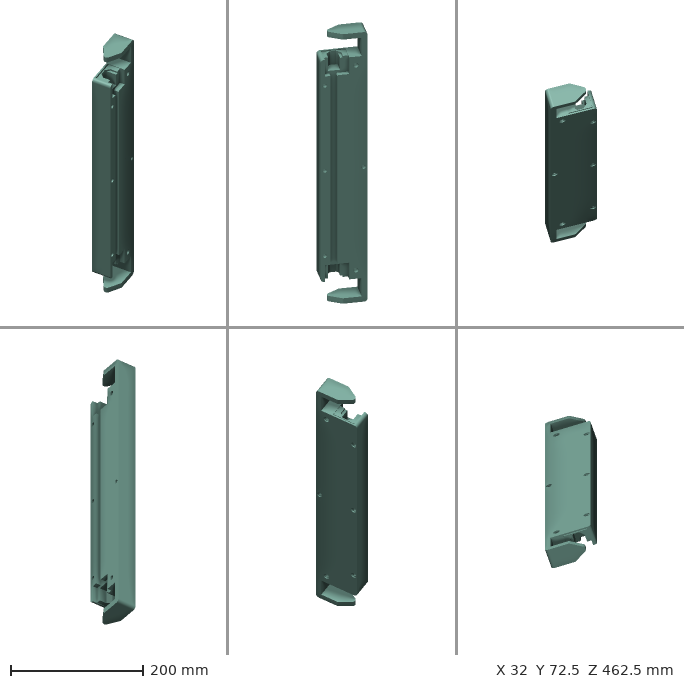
import cadquery as cq

width = 32.0
depth = 72.5
height = 462.5
left = -width / 2
right = width / 2
front = -depth / 2
back = depth / 2

block_height = 381.0
bar_thickness = 9.2
back_edge_radius = 5.5
front_edge_radius = 5.0

hook_thickness = 9.2
hook_shoulder = back - 38.5
hook_apex = back - 64.3
hook_shoulder_radius = 4.5
hook_tip_radius = 5.0

channel_left = -13.5
channel_front = -30.0
channel_back = 8.0

core_gap = 1.5
core_left = channel_left + core_gap
core_height = 379.0

lip_left = 8.0
lip_height = 323.5
lip_chamfer = 1.5
mouth_front = -21.3
mouth_back = -10.5

slot_left = -10.5
slot_front = -23.0
slot_back = -0.5
slot_chamfer = 6.5

insert_height = 333.0
rib_height = 373.5
rib_thickness = 4.0

head_depth = 2.0
edge_hole_diameter = 6.5
edge_head_diameter = 9.2
edge_hole_y = 30.0
edge_hole_z = 146.0
inner_hole_diameter = 8.0
inner_head_diameter = 9.5
inner_hole_y = 18.0
inner_hole_z = 175.5
edge_holes = [(edge_hole_y, 0)] + [(-edge_hole_y, z) for z in (-edge_hole_z, 0, edge_hole_z)]
inner_holes = [(inner_hole_y, z) for z in (-inner_hole_z, inner_hole_z)]


def block(x_range, y_range, tall):
    """Block between two X and two Y places, centred on Z = 0."""
    (x0, x1), (y0, y1) = x_range, y_range
    return cq.Workplane("XY").center((x0 + x1) / 2, (y0 + y1) / 2).box(x1 - x0, y1 - y0, tall)


def pins_along_x(places, diameter, length):
    """Cylinders running from the -X face inward at the given (y, z) places."""
    return cq.Workplane("YZ", origin=(left, 0, 0)).pushPoints(places).circle(diameter / 2).extrude(length)


def make_hook():
    """Pointed plate with its lower face on Z = 0."""
    outline = [(left, back), (right, back), (right, hook_shoulder), (0, hook_apex), (left, hook_shoulder)]
    hook = cq.Workplane("XY").polyline(outline).close().extrude(hook_thickness)
    hook = hook.edges("|Z and <Y").fillet(hook_tip_radius)
    margin = 4.5
    shoulders = cq.selectors.BoxSelector(
        (left - margin, hook_shoulder - margin, -margin),
        (right + margin, hook_shoulder + margin, hook_thickness + margin),
    )
    return hook.edges("|Z").edges(shoulders).fillet(hook_shoulder_radius)


def drill_edge_holes(body):
    return body.cut(pins_along_x(edge_holes, edge_hole_diameter, width))


def make_housing():
    body = block((left, right), (front, back), block_height)
    body = body.edges("|X and <Y").fillet(front_edge_radius)
    body = body.union(block((left, right), (back - bar_thickness, back), height))
    hook = make_hook()
    for z in (height / 2 - hook_thickness, -height / 2):
        body = body.union(hook.translate((0, 0, z)))
    body = body.edges("|X and >Y").fillet(back_edge_radius)
    body = body.cut(block((channel_left, right), (channel_front, channel_back), block_height))
    body = body.cut(pins_along_x(edge_holes, edge_head_diameter, head_depth))
    body = body.cut(pins_along_x(inner_holes, inner_head_diameter, head_depth))
    body = body.cut(pins_along_x(inner_holes, inner_hole_diameter, width))
    return drill_edge_holes(body)


def slot_fill(tall):
    """Shape of the slot between its inner wall and the lips."""
    fill = block((slot_left, lip_left), (slot_front, slot_back), tall)
    return fill.edges("|Z and <X").chamfer(slot_chamfer)


def make_lip(y_range):
    return block((lip_left, right), y_range, lip_height)


def make_core():
    core = block((core_left, lip_left), (channel_front, channel_back), core_height).cut(slot_fill(core_height))
    back_lip = make_lip((mouth_back, channel_back)).edges("|X and <Y").chamfer(lip_chamfer)
    core = core.union(back_lip).union(make_lip((channel_front, mouth_front)))
    return drill_edge_holes(core)


def make_insert():
    rib_zone = block((slot_left, lip_left), (slot_back - rib_thickness, slot_back), rib_height)
    rib = slot_fill(rib_height).intersect(rib_zone)
    return slot_fill(insert_height).union(rib)


housing = make_housing()
core = make_core()
insert = make_insert()
result = cq.Compound.makeCompound([housing.val(), core.val(), insert.val()])